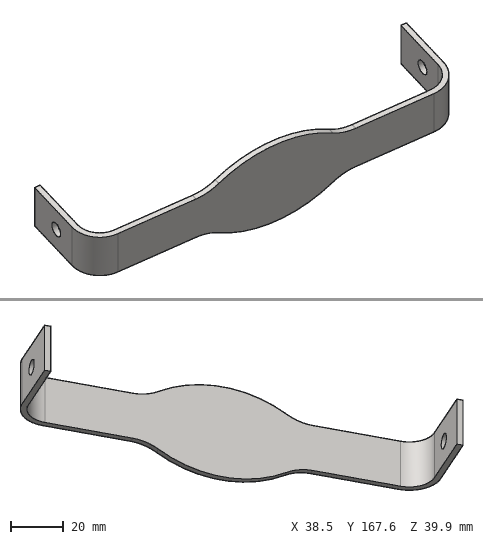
import cadquery as cq
import math

length = 167.6
depth = 38.5
thickness = 2.5
bend_inner_radius = 10.0
bend_outer_radius = bend_inner_radius + thickness

strap_width = 20.0
bulge_width = 39.9
bulge_radius = 50.0
blend_radius = 20.0

hole_diameter = 6.0
hole_from_tip = 15.1

half_length = length / 2
back_x = depth / 2
tip_x = -depth / 2


def channel():
    """U-shaped bent sheet, tall enough for the widened middle."""
    outer = (
        cq.Workplane("XY")
        .box(depth, length, bulge_width)
        .edges("|Z and >X")
        .fillet(bend_outer_radius)
    )
    inner = (
        cq.Workplane("XY")
        .box(depth, length - 2 * thickness, bulge_width)
        .edges("|Z and >X")
        .fillet(bend_inner_radius)
        .translate((-thickness, 0, 0))
    )
    return outer.cut(inner)


def strap_silhouette():
    """Strap outline in the YZ plane, with a round bulge blended into its edges."""
    half_strap = strap_width / 2
    half_bulge = bulge_width / 2
    rise = half_bulge - half_strap
    center_distance = bulge_radius + blend_radius

    blend_y = math.sqrt(center_distance**2 - (center_distance - rise) ** 2)
    blend_angle = math.asin(blend_y / center_distance)
    join_y = bulge_radius * math.sin(blend_angle)
    join_z = half_bulge - bulge_radius * (1 - math.cos(blend_angle))
    blend_mid_y = blend_y - blend_radius * math.sin(blend_angle / 2)
    blend_mid_z = half_strap + blend_radius * (1 - math.cos(blend_angle / 2))

    return (
        cq.Workplane("YZ")
        .moveTo(-half_length, 0)
        .lineTo(-half_length, half_strap)
        .lineTo(-blend_y, half_strap)
        .threePointArc((-blend_mid_y, blend_mid_z), (-join_y, join_z))
        .threePointArc((0, half_bulge), (join_y, join_z))
        .threePointArc((blend_mid_y, blend_mid_z), (blend_y, half_strap))
        .lineTo(half_length, half_strap)
        .lineTo(half_length, 0)
        .mirrorX()
        .extrude(back_x, both=True)
    )


def lug_holes():
    """One drill running along Y through both lugs."""
    return (
        cq.Workplane("XZ")
        .center(tip_x + hole_from_tip, 0)
        .circle(hole_diameter / 2)
        .extrude(half_length, both=True)
    )


result = channel().intersect(strap_silhouette()).cut(lug_holes())